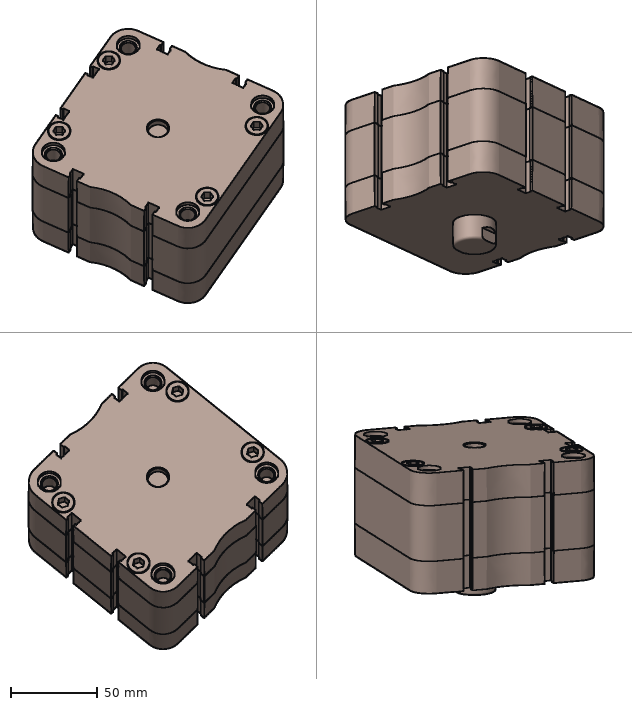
import cadquery as cq
import math


side = 113.5
half_side = side / 2
corner_radius = 12.0
cap_height = 19.4
barrel_height = 33.3
housing_height = 2 * cap_height + barrel_height
cap_draft = 0.7

hollow_half_width = 13.5
hollow_depth = 2.6
hollow_edge_radius = 1.7

mouth_width = 5.3
mouth_chamfer = 0.2
channel_width = 6.9
cap_slot_clearance = 0.1
front_slot_offset = 25.1
front_slot_depth = 6.7
front_lip_depth = 3.1
left_slot_offset = 17.6
left_slot_depth = 5.7
left_lip_depth = 1.9

mount_offset = 44.6
mount_counterbore_diameter = 13.5
mount_counterbore_depth = 2.5
mount_rim_diameter = 10.1
mount_hole_diameter = 8.5
mount_hole_depth = 13.6

screw_x = 49.1
screw_y = 29.5
screw_head_diameter = 13.2
screw_top_diameter = 12.4
screw_hex_across_flats = 6.0
screw_hex_depth = 5.7

recess_diameter = 12.0
recess_rim_diameter = 13.0
recess_depth = 4.5

rod_diameter = 25.0
rod_projection = 15.0
rod_end_fillet = 1.7
rod_across_flats = 22.0
rod_flat_length = 7.0


def housing_outline(z):
    """Rounded square with a shallow arc pressed into its front and back sides."""
    inner = half_side - corner_radius
    diagonal = inner + corner_radius / math.sqrt(2)
    hollow_floor = half_side - hollow_depth
    return (
        cq.Workplane("XY", origin=(0, 0, z))
        .moveTo(-inner, -half_side)
        .lineTo(-hollow_half_width, -half_side)
        .threePointArc((0, -hollow_floor), (hollow_half_width, -half_side))
        .lineTo(inner, -half_side)
        .threePointArc((diagonal, -diagonal), (half_side, -inner))
        .lineTo(half_side, inner)
        .threePointArc((diagonal, diagonal), (inner, half_side))
        .lineTo(hollow_half_width, half_side)
        .threePointArc((0, hollow_floor), (-hollow_half_width, half_side))
        .lineTo(-inner, half_side)
        .threePointArc((-diagonal, diagonal), (-half_side, inner))
        .lineTo(-half_side, -inner)
        .threePointArc((-diagonal, -diagonal), (-inner, -half_side))
        .close()
    )


def slot_tool(offset, depth, lip_depth, clearance):
    """Slot in the front side, the given distance along X, through the full housing height."""
    mouth = mouth_width / 2 + clearance
    channel = channel_width / 2 + clearance
    floor = -half_side + depth + clearance
    lip = -half_side + lip_depth - clearance
    chamfer_end = -half_side + mouth_chamfer
    outside = mouth + mouth_chamfer
    right_half = [
        (outside, -half_side),
        (mouth, chamfer_end),
        (mouth, lip),
        (channel, lip),
        (channel, floor),
    ]
    left_half = [(-x, y) for x, y in reversed(right_half)]
    return (
        cq.Workplane("XY")
        .center(offset, 0)
        .polyline(right_half + left_half)
        .close()
        .extrude(housing_height)
    )


def cut_slots(body, clearance=0.0):
    """Two slots each in the front, back and left sides."""
    for sign in (-1, 1):
        front_slot = slot_tool(sign * front_slot_offset, front_slot_depth, front_lip_depth, clearance)
        left_slot = slot_tool(sign * left_slot_offset, left_slot_depth, left_lip_depth, clearance)
        body = body.cut(front_slot)
        body = body.cut(front_slot.mirror("XZ"))
        body = body.cut(left_slot.rotate((0, 0, 0), (0, 0, 1), -90))
    return body


def disc(diameter, top, height):
    """Upright cylinder on the Z axis, given by its top."""
    return cq.Workplane("XY", origin=(0, 0, top - height)).circle(diameter / 2).extrude(height)


def countersink(top_diameter, bottom_diameter, top):
    """45 degree cone on the Z axis that narrows downwards."""
    height = (top_diameter - bottom_diameter) / 2
    cone = cq.Solid.makeCone(bottom_diameter / 2, top_diameter / 2, height)
    return cq.Workplane(cone.moved(cq.Location(cq.Vector(0, 0, top - height))))


def mounting_hole_tool():
    """Counterbored hole with a countersunk rim."""
    seat = housing_height - mount_counterbore_depth
    hole = disc(mount_hole_diameter, housing_height, mount_hole_depth)
    counterbore = disc(mount_counterbore_diameter, housing_height, mount_counterbore_depth)
    rim = countersink(mount_rim_diameter, mount_hole_diameter, seat)
    return hole.union(counterbore).union(rim)


def screw_head_tool():
    """Hexagon socket and the groove left by the chamfered edge of a flush screw head."""
    chamfer = (screw_head_diameter - screw_top_diameter) / 2
    ring = disc(screw_head_diameter, housing_height, chamfer)
    head = cq.Workplane(
        cq.Solid.makeCone(screw_head_diameter / 2, screw_top_diameter / 2, chamfer)
    ).translate((0, 0, housing_height - chamfer))
    socket = (
        cq.Workplane("XY", origin=(0, 0, housing_height - screw_hex_depth))
        .polygon(6, screw_hex_across_flats, circumscribed=True)
        .extrude(screw_hex_depth)
    )
    return ring.cut(head).union(socket)


def recess_tool():
    """Blind recess with a chamfered rim."""
    recess = disc(recess_diameter, housing_height, recess_depth)
    return recess.union(countersink(recess_rim_diameter, recess_diameter, housing_height))


def make_barrel():
    """Middle of the housing, with the edges of its two hollows rounded."""
    block = housing_outline(cap_height).extrude(barrel_height)
    for x in (-hollow_half_width, hollow_half_width):
        for y in (-half_side, half_side):
            hollow_edge = cq.selectors.NearestToPointSelector((x, y, housing_height / 2))
            block = block.edges("|Z").edges(hollow_edge).fillet(hollow_edge_radius)
    return cut_slots(block)


def make_slotted_cap():
    """Slotted cap with its wide face up, at the lower end of the barrel."""
    cap = housing_outline(cap_height).extrude(-cap_height, taper=cap_draft)
    return cut_slots(cap, cap_slot_clearance)


def make_lower_cap():
    """Cap that the piston rod passes through."""
    rod_hole = disc(rod_diameter, cap_height, cap_height)
    return make_slotted_cap().cut(rod_hole)


def make_upper_cap():
    """Cap with a middle recess, and a mounting hole and a screw head near each corner."""
    middle = (0, 0, housing_height / 2)
    cap = make_slotted_cap().mirror("XY", middle).cut(recess_tool())
    for x_sign in (-1, 1):
        for y_sign in (-1, 1):
            mount_place = (x_sign * mount_offset, y_sign * mount_offset, 0)
            screw_place = (x_sign * screw_x, y_sign * screw_y, 0)
            cap = cap.cut(mounting_hole_tool().translate(mount_place))
            cap = cap.cut(screw_head_tool().translate(screw_place))
    return cap


def make_piston_rod():
    """Rod from the barrel down through the lower cap, with two wrench flats at its end."""
    rod = disc(rod_diameter, cap_height, cap_height + rod_projection)
    rod = rod.faces("<Z").edges().fillet(rod_end_fillet)
    flat_reach = rod_across_flats / 2
    run_out = rod_diameter / 2 - flat_reach
    flat_top = rod_flat_length - rod_projection
    flat_cut = (
        cq.Workplane("XZ")
        .polyline([
            (flat_reach, -rod_projection),
            (flat_reach, flat_top),
            (flat_reach + run_out, flat_top + run_out),
            (flat_reach + run_out, -rod_projection),
        ])
        .close()
        .extrude(rod_diameter / 2, both=True)
    )
    return rod.cut(flat_cut).cut(flat_cut.mirror("YZ"))


barrel = make_barrel()
lower_cap = make_lower_cap()
upper_cap = make_upper_cap()
piston_rod = make_piston_rod()

result = cq.Compound.makeCompound([
    barrel.val(),
    lower_cap.val(),
    upper_cap.val(),
    piston_rod.val(),
])